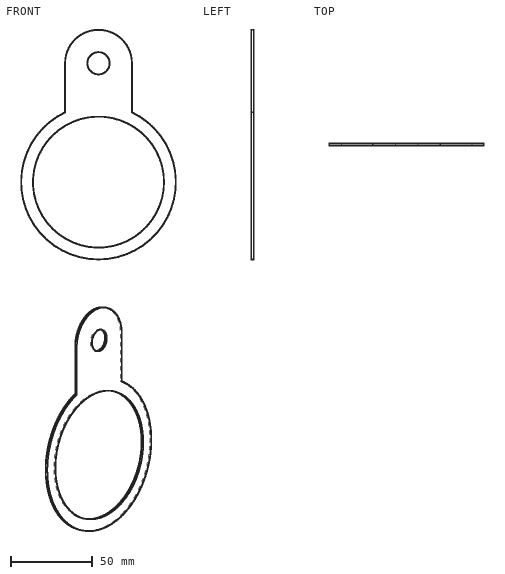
import cadquery as cq

total_height = 141.0
thickness = 1.5
ring_outer_diameter = 95.0
ring_inner_diameter = 80.3
tab_width = 41.2
tab_hole_diameter = 13.5

ring_radius = ring_outer_diameter / 2
tab_radius = tab_width / 2
tab_center_height = total_height - ring_radius - tab_radius


def disc(diameter, height):
    """Disc of the plate thickness, centred on Y = 0 at the given height."""
    return (
        cq.Workplane("XZ")
        .center(0, height)
        .circle(diameter / 2)
        .extrude(thickness / 2, both=True)
    )


def tab_shank():
    """Straight part of the tab, from the ring centre to the round end's centre."""
    return (
        cq.Workplane("XZ")
        .center(0, tab_center_height / 2)
        .rect(tab_width, tab_center_height)
        .extrude(thickness / 2, both=True)
    )


plate = disc(ring_outer_diameter, 0)
plate = plate.union(tab_shank())
plate = plate.union(disc(tab_width, tab_center_height))

plate = plate.cut(disc(ring_inner_diameter, 0))
plate = plate.cut(disc(tab_hole_diameter, tab_center_height))

result = plate.clean()